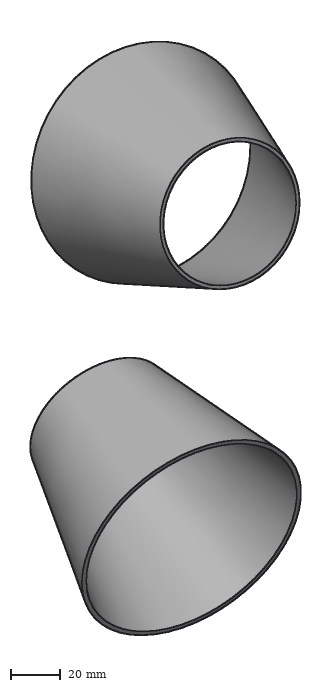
import cadquery as cq

length = 76.0
wide_outer_diameter = 101.6
narrow_outer_diameter = 63.5
wide_end_wall = 2.0
narrow_end_wall = 1.6

wide_outer_radius = wide_outer_diameter / 2
narrow_outer_radius = narrow_outer_diameter / 2

wall_section = [
    (0, wide_outer_radius),
    (length, narrow_outer_radius),
    (length, narrow_outer_radius - narrow_end_wall),
    (0, wide_outer_radius - wide_end_wall),
]

result = (
    cq.Workplane("XY")
    .polyline(wall_section)
    .close()
    .revolve(360, (0, 0, 0), (1, 0, 0))
)